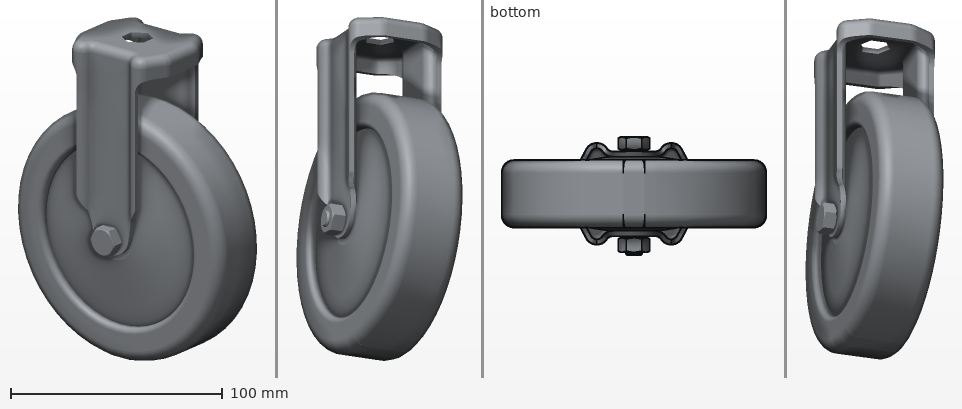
import cadquery as cq
import math


total_height = 158.0
wheel_diameter = 125.0
wheel_radius = wheel_diameter / 2
plate_top = total_height - wheel_radius

wheel_width = 31.9
tread_round = 6.0
recess_radius = 48.0
recess_lip_round = 2.8
contact_half_length = 5.0
contact_pad_depth = 7.9
hub_radius = 11.2
hub_width = 35.0
disc_edge_half_width = 12.2

sheet = 2.5
plate_half_length = 28.0
side_flat_half = 10.9
side_corner_round = 7.1
web_half_width = 10.3
web_face = hub_width / 2 + sheet
leg_half_width = 17.5
lobe_center_x = leg_half_width
lobe_peak = 24.0
lobe_radius = 5.7
plate_edge_round = 4.5
rim_depth = 10.3
rim_to_leg_round = 7.5
taper_start = 18.5
taper_corner_round = 4.7
leg_end_drop = 8.0
leg_split = 20.5
hex_hole_flats = 13.1

bolt_radius = 4.0
bolt_tip = 28.9
bolt_tip_chamfer = 0.8
hex_flats = 13.0
hex_chamfer_radius = 6.3
hex_chamfer_angle = 30
hex_half_step = 30
hex_clearance = 0.6
hex_inner_face = web_face + hex_clearance
head_outer_face = 26.9
nut_outer_face = 27.6

DIAGONAL = math.sqrt(0.5)


def make_wheel():
    """Revolve the full section about the axle; local x is radius, local y is the axle direction."""
    half = wheel_width / 2
    lip_inner = recess_radius - recess_lip_round
    lip_center_y = half - recess_lip_round
    lip_mid = (lip_inner + recess_lip_round * (1 - DIAGONAL), lip_center_y + recess_lip_round * DIAGONAL)
    shoulder = wheel_radius - tread_round
    round_start = half - tread_round
    round_mid = (shoulder + tread_round * DIAGONAL, round_start + tread_round * DIAGONAL)
    section = (
        cq.Workplane("XY")
        .moveTo(0, -hub_width / 2)
        .lineTo(hub_radius, -hub_width / 2)
        .lineTo(lip_inner, -disc_edge_half_width)
        .lineTo(lip_inner, -lip_center_y)
        .threePointArc((lip_mid[0], -lip_mid[1]), (recess_radius, -half))
        .lineTo(shoulder, -half)
        .threePointArc((round_mid[0], -round_mid[1]), (wheel_radius, -round_start))
        .lineTo(wheel_radius, round_start)
        .threePointArc(round_mid, (shoulder, half))
        .lineTo(recess_radius, half)
        .threePointArc(lip_mid, (lip_inner, lip_center_y))
        .lineTo(lip_inner, disc_edge_half_width)
        .lineTo(hub_radius, hub_width / 2)
        .lineTo(0, hub_width / 2)
        .close()
    )
    wheel = section.revolve(360, (0, 0), (0, 1))
    return wheel.rotate((0, 0, 0), (0, 1, 0), 90)


def tread_flat(x_start, x_end):
    """Straight run of the tread section, touching the wheel's lowest line."""
    return (
        cq.Workplane("XY", origin=(0, 0, -wheel_radius))
        .moveTo((x_start + x_end) / 2, 0)
        .rect(x_end - x_start, wheel_width)
        .extrude(contact_pad_depth)
        .edges("|X and <Z")
        .fillet(tread_round)
    )


def make_contact_pad():
    """Flat patch at the ground, carried on each side by a flat that runs out tangent to the tread."""
    run_out_angle = 2 * math.degrees(math.atan(contact_half_length / wheel_radius))
    pad = tread_flat(-contact_half_length, contact_half_length)
    trailing = tread_flat(-contact_half_length, 0).rotate((0, 0, 0), (0, 1, 0), -run_out_angle)
    return pad.union(trailing).union(trailing.mirror("YZ"))


def on_circle(center, radius, angle):
    return (center[0] + radius * math.cos(angle), center[1] + radius * math.sin(angle))


def fork_outline():
    """Plan outline of the fork: lobed corners joined to recessed webs by tangent arcs."""
    lobe_y = lobe_peak - lobe_radius
    dx = lobe_center_x - web_half_width
    drop = web_face - lobe_y
    valley_radius = (dx**2 + drop**2 - lobe_radius**2) / (2 * (lobe_radius - drop))
    valley_center = (web_half_width, web_face + valley_radius)
    valley_end_angle = math.atan2(lobe_y - valley_center[1], dx)
    valley_mid_angle = (valley_end_angle - math.pi / 2) / 2
    to_lobe_x = lobe_center_x - plate_half_length
    to_lobe_y = lobe_y - side_flat_half
    tangent_swing = math.asin(lobe_radius / math.hypot(to_lobe_x, to_lobe_y))
    slant_angle = math.atan2(to_lobe_y, to_lobe_x) - tangent_swing
    lobe_end_angle = slant_angle - math.pi / 2

    valley_mid = on_circle(valley_center, valley_radius, valley_mid_angle)
    valley_end = on_circle(valley_center, valley_radius, valley_end_angle)
    lobe_top = (lobe_center_x, lobe_peak)
    lobe_end = on_circle((lobe_center_x, lobe_y), lobe_radius, lobe_end_angle)
    side_corner = (plate_half_length, side_flat_half, sheet / 2)

    quarter = (
        cq.Workplane("XY")
        .lineTo(0, web_face)
        .lineTo(web_half_width, web_face)
        .threePointArc(valley_mid, valley_end)
        .threePointArc(lobe_top, lobe_end)
        .lineTo(plate_half_length, side_flat_half)
        .lineTo(plate_half_length, 0)
        .close()
        .extrude(sheet)
        .edges(cq.selectors.NearestToPointSelector(side_corner))
        .fillet(side_corner_round)
    )
    half = quarter.union(quarter.mirror("YZ"))
    whole = half.union(half.mirror("XZ")).clean()
    return whole.faces("<Z").wires().val()


def fork_block(inset):
    """Solid bounded by the fork outline moved inward, with a rounded top edge."""
    outline = cq.Workplane("XY", origin=(0, 0, -wheel_radius)).add(
        fork_outline().translate((0, 0, -wheel_radius))
    ).toPending()
    if inset:
        outline = outline.offset2D(-inset)
    block = outline.extrude(total_height - inset)
    return block.faces(">Z").edges().fillet(plate_edge_round - inset)


def leg_end_mid():
    """Middle point of the arc from the web edge at axle height to the lowest leg point."""
    radius = (web_half_width**2 + leg_end_drop**2) / (2 * leg_end_drop)
    center = (0, radius - leg_end_drop)
    edge_angle = math.atan2(-center[1], web_half_width)
    return on_circle(center, radius, (edge_angle - math.pi / 2) / 2)


def fork_side_profile():
    """Solid whose XZ outline trims the shell to the plate rim and two tapered legs."""
    rim_bottom = plate_top - rim_depth
    round_mid = rim_to_leg_round * (1 - DIAGONAL)
    half_profile = (
        cq.Workplane("XZ")
        .moveTo(0, plate_top)
        .lineTo(plate_half_length, plate_top)
        .lineTo(plate_half_length, rim_bottom)
        .lineTo(leg_half_width + rim_to_leg_round, rim_bottom)
        .threePointArc(
            (leg_half_width + round_mid, rim_bottom - round_mid),
            (leg_half_width, rim_bottom - rim_to_leg_round),
        )
        .lineTo(leg_half_width, taper_start)
        .lineTo(web_half_width, 0)
        .threePointArc(leg_end_mid(), (0, -leg_end_drop))
        .close()
        .extrude(lobe_peak, both=True)
    )
    taper_corner = (leg_half_width, 0, taper_start)
    half_profile = half_profile.edges(cq.selectors.NearestToPointSelector(taper_corner))
    half_profile = half_profile.fillet(taper_corner_round)
    return half_profile.union(half_profile.mirror("YZ")).clean()


def make_leg_ends(cavity, trim):
    """Leg ends thickened outward from their inner skin, so the cut edges stand square to the sheet."""
    leg_ends = cq.Workplane("XY")
    for face in cavity.faces().vals():
        for skin in face.intersect(trim.val()).Faces():
            leg_ends = leg_ends.add(skin.thicken(sheet))
    return leg_ends.combine()


def make_fork():
    cavity = fork_block(sheet)
    profile = fork_side_profile()
    below_split = (
        cq.Workplane("XY", origin=(0, 0, leg_split))
        .rect(wheel_diameter, wheel_diameter)
        .extrude(-wheel_radius)
    )
    crown = fork_block(0).cut(cavity).intersect(profile).cut(below_split)
    leg_ends = make_leg_ends(cavity, profile.intersect(below_split))
    hex_hole = (
        cq.Workplane("XY", origin=(0, 0, plate_top))
        .polygon(6, hex_hole_flats, circumscribed=True)
        .extrude(-2 * sheet)
    )
    return crown.union(leg_ends).cut(hex_hole)


def hexagon(y_start, y_end):
    """Hexagon along Y with flats facing up and down and both ends chamfered."""
    length = y_end - y_start
    chamfer_reach = hex_flats / math.sqrt(3) - hex_chamfer_radius
    depth = chamfer_reach * math.tan(math.radians(hex_chamfer_angle))
    prism = (
        cq.Workplane("XZ")
        .polygon(6, hex_flats, circumscribed=True)
        .extrude(-length)
        .rotate((0, 0, 0), (0, 1, 0), hex_half_step)
    )
    corner_radius = hex_chamfer_radius + chamfer_reach
    envelope = cq.Workplane("XZ").circle(corner_radius).extrude(-length)
    envelope = envelope.edges().chamfer(depth, chamfer_reach)
    return prism.intersect(envelope).translate((0, y_start, 0))


def make_axle():
    length = head_outer_face + bolt_tip
    shank = (
        cq.Workplane("XZ", origin=(0, -head_outer_face, 0))
        .circle(bolt_radius)
        .extrude(-length)
        .faces(">Y")
        .chamfer(bolt_tip_chamfer)
    )
    head = hexagon(-head_outer_face, -hex_inner_face)
    nut = hexagon(hex_inner_face, nut_outer_face)
    return shank.union(head).union(nut)


result = make_wheel().union(make_contact_pad()).union(make_fork()).union(make_axle())